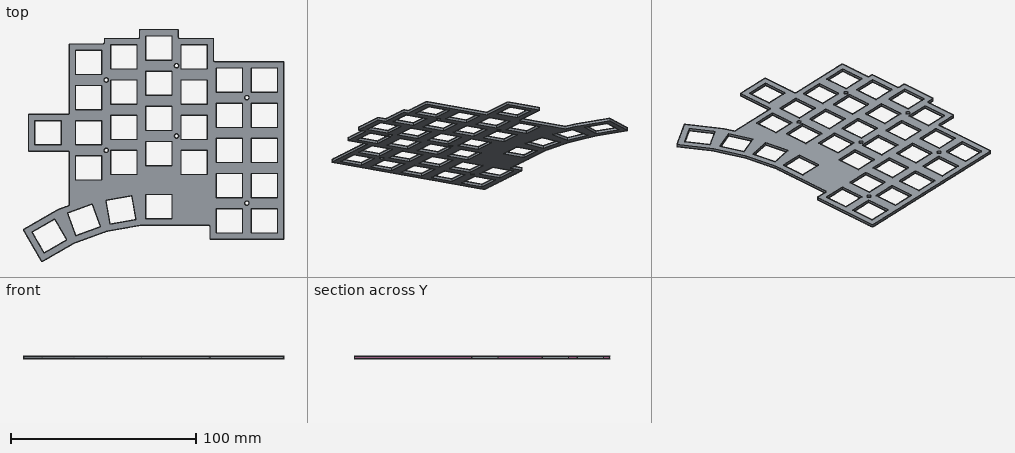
import cadquery as cq
import math

plate_length = 140.7
plate_depth = 125.3
plate_thickness = 1.5
corner_radius = 0.5

opening_width = 14.0
opening_depth = 13.0
cell_width = 21.1
cell_depth = 20.1
key_pitch = 19.0

column_drops = [7.7, 4.8, 0.0, 4.8, 17.3, 17.3]
column_key_counts = [4, 4, 4, 4, 5, 5]
outer, ring, middle, index, inner, last = range(len(column_drops))

side_key_offset = 22.0
side_key_row = 2

thumb_key_count = 4
thumb_step_angle = 10.0

screw_diameter = 2.3
screw_pairs = [(outer, 0, 2), (middle, 0, 2), (inner, 0, 3)]

cell_half_x = cell_width / 2
cell_half_y = cell_depth / 2

last_column_x = plate_length - cell_half_x
middle_top_y = plate_depth - cell_half_y


def key_center(column, row):
    x = last_column_x - (last - column) * key_pitch
    y = middle_top_y - column_drops[column] - row * key_pitch
    return x, y


thumb_x = key_center(middle, 0)[0]
fan_angle = math.radians(thumb_step_angle * (thumb_key_count - 1))
core_half_x = cell_half_x - corner_radius
core_half_y = cell_half_y - corner_radius
end_reach_x = core_half_x * math.cos(fan_angle) + core_half_y * math.sin(fan_angle) + corner_radius
end_reach_y = core_half_x * math.sin(fan_angle) + core_half_y * math.cos(fan_angle) + corner_radius
thumb_radius = (thumb_x - end_reach_x) / math.sin(fan_angle)
thumb_arc_y = end_reach_y - thumb_radius * math.cos(fan_angle)


def thumb_point(angle_degrees, along, radius):
    """Point at a sideways distance and a radius in the frame of a thumb key."""
    angle = math.radians(angle_degrees)
    x = thumb_x + along * math.cos(angle) - radius * math.sin(angle)
    y = thumb_arc_y + along * math.sin(angle) + radius * math.cos(angle)
    return x, y


def column_left(column):
    return key_center(column, 0)[0] - cell_half_x


def column_right(column):
    return key_center(column, 0)[0] + cell_half_x


def column_top(column):
    return key_center(column, 0)[1] + cell_half_y


def column_bottom(column):
    return key_center(column, column_key_counts[column] - 1)[1] - cell_half_y


def side_key_center():
    x, y = key_center(outer, side_key_row)
    return x - side_key_offset, y


def finger_outline():
    """Stepped edge from the lower left of the outer column, over the top, to the lower right."""
    side_x, side_y = side_key_center()
    side_left = side_x - cell_half_x
    return [
        (column_left(outer), side_y - cell_half_y),
        (side_left, side_y - cell_half_y),
        (side_left, side_y + cell_half_y),
        (column_left(outer), side_y + cell_half_y),
        (column_left(outer), column_top(outer)),
        (column_left(ring), column_top(outer)),
        (column_left(ring), column_top(ring)),
        (column_left(middle), column_top(ring)),
        (column_left(middle), column_top(middle)),
        (column_right(middle), column_top(middle)),
        (column_right(middle), column_top(index)),
        (column_right(index), column_top(index)),
        (column_right(index), column_top(inner)),
        (column_right(last), column_top(last)),
        (column_right(last), column_bottom(last)),
        (column_left(inner), column_bottom(inner)),
    ]


def thumb_outline():
    """Faceted edge along the underside of the thumb fan, round its end and back to the outer column."""
    under_radius = thumb_radius - cell_half_y
    upper_radius = thumb_radius + cell_half_y
    end_angle = thumb_step_angle * (thumb_key_count - 1)
    next_angle = end_angle - thumb_step_angle

    points = [(column_left(inner), thumb_arc_y + under_radius)]
    facet_corner_radius = under_radius / math.cos(math.radians(thumb_step_angle / 2))
    for key in range(thumb_key_count - 1):
        points.append(thumb_point((key + 0.5) * thumb_step_angle, 0, facet_corner_radius))
    points.append(thumb_point(end_angle, -cell_half_x, under_radius))
    points.append(thumb_point(end_angle, -cell_half_x, upper_radius))
    points.append(thumb_point(end_angle, cell_half_x, upper_radius))

    x, y = thumb_point(next_angle, -cell_half_x, upper_radius)
    points.append((x, y))
    run = column_left(outer) - x
    points.append((column_left(outer), y + run * math.tan(math.radians(next_angle))))
    return points


def opening_cutter(center, angle=0.0):
    cutter = cq.Workplane("XY").rect(opening_width, opening_depth).extrude(plate_thickness)
    return cutter.rotate((0, 0, 0), (0, 0, 1), angle).translate((*center, 0))


result = cq.Workplane("XY").polyline(finger_outline() + thumb_outline()).close().extrude(plate_thickness)
result = result.edges("|Z").fillet(corner_radius)

finger_centers = [side_key_center()]
for column, key_count in enumerate(column_key_counts):
    for row in range(key_count):
        finger_centers.append(key_center(column, row))
for center in finger_centers:
    result = result.cut(opening_cutter(center))

for key in range(thumb_key_count):
    angle = key * thumb_step_angle
    result = result.cut(opening_cutter(thumb_point(angle, 0, thumb_radius), angle))

screw_centers = []
for column, row, rows_apart in screw_pairs:
    for screw_row in (row, row + rows_apart):
        x, y = key_center(column, screw_row)
        screw_centers.append((x + key_pitch / 2, y - key_pitch / 2))
screw_holes = cq.Workplane("XY").pushPoints(screw_centers).circle(screw_diameter / 2).extrude(plate_thickness)
result = result.cut(screw_holes)